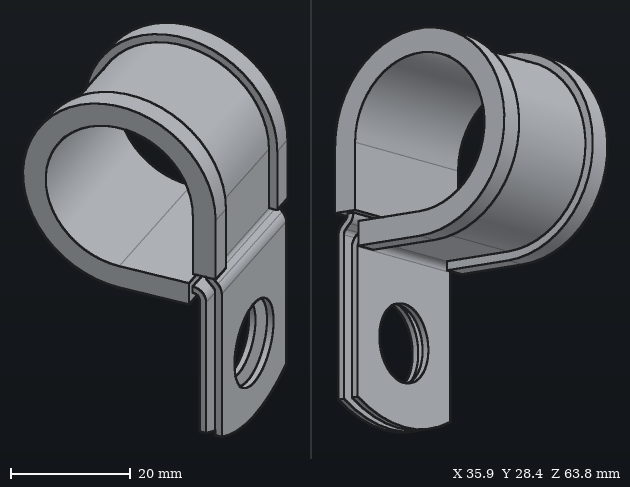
import cadquery as cq
import math


loop_width = 28.45
bore_radius = 13.5
flange_radius = 17.7
flange_width = 4.1
upright_leg_length = 11.55
flat_leg_length = 12.8

strap_thickness = 1.2
strap_width = 25.5
strap_outer_radius = 16.2
strap_inner_radius = strap_outer_radius - strap_thickness
bend_inner_radius = 1.3
bend_outer_radius = bend_inner_radius + strap_thickness

overall_height = 63.8
overall_length = 35.9
tab_spacing = 2.9
inner_hole_diameter = 13.45
outer_hole_diameter = 15.45
hole_z = -31.75
end_arc_height = 3.0
tab_bottom_z = flange_radius - overall_height
outer_tab_face = overall_length - flange_radius
outer_tab_inside = outer_tab_face - strap_thickness
inner_tab_face = outer_tab_face - tab_spacing
inner_tab_inside = inner_tab_face - strap_thickness


def extrude_centered(profile, width):
    return profile.extrude(width / 2, both=True)


def loop_band(inner_radius, outer_radius, width):
    """Three-quarter ring with one leg pointing down and one pointing along +X."""
    diagonal = math.sqrt(0.5)
    profile = (
        cq.Workplane("XZ")
        .moveTo(outer_radius, -upright_leg_length)
        .lineTo(outer_radius, 0)
        .threePointArc((-outer_radius * diagonal, outer_radius * diagonal), (0, -outer_radius))
        .lineTo(flat_leg_length, -outer_radius)
        .lineTo(flat_leg_length, -inner_radius)
        .lineTo(0, -inner_radius)
        .threePointArc((-inner_radius * diagonal, inner_radius * diagonal), (inner_radius, 0))
        .lineTo(inner_radius, -upright_leg_length)
        .close()
    )
    return extrude_centered(profile, width)


def cushion():
    groove = loop_band(strap_outer_radius, flange_radius, loop_width - 2 * flange_width)
    return loop_band(bore_radius, flange_radius, loop_width).cut(groove)


def inner_tab():
    """Strip leaving the flat leg and turning down through a right angle."""
    bend_end_z = -strap_inner_radius - bend_outer_radius
    profile = (
        cq.Workplane("XZ")
        .moveTo(0, -strap_inner_radius)
        .lineTo(inner_tab_face - bend_outer_radius, -strap_inner_radius)
        .radiusArc((inner_tab_face, bend_end_z), bend_outer_radius)
        .lineTo(inner_tab_face, tab_bottom_z)
        .lineTo(inner_tab_inside, tab_bottom_z)
        .lineTo(inner_tab_inside, bend_end_z)
        .radiusArc((inner_tab_inside - bend_inner_radius, -strap_outer_radius), -bend_inner_radius)
        .lineTo(0, -strap_outer_radius)
        .close()
    )
    return extrude_centered(profile, strap_width)


def outer_tab():
    """Strip leaving the upright leg and stepping outward through a 45 degree jog."""
    jog_start_z = -upright_leg_length
    bend_angle = math.radians(45)
    side_factor = 1 - math.cos(bend_angle)
    drop_factor = math.sin(bend_angle)
    jog_offset = outer_tab_face - strap_outer_radius
    bend_radii = bend_inner_radius + bend_outer_radius
    straight_run = jog_offset - bend_radii * side_factor
    jog_end_z = jog_start_z - bend_radii * drop_factor - straight_run

    def bend_end(x, z, radius, direction):
        return (x + direction * radius * side_factor, z - direction * radius * drop_factor)

    profile = (
        cq.Workplane("XZ")
        .moveTo(strap_outer_radius, 0)
        .lineTo(strap_outer_radius, jog_start_z)
        .radiusArc(bend_end(strap_outer_radius, jog_start_z, bend_inner_radius, 1), -bend_inner_radius)
        .lineTo(*bend_end(outer_tab_face, jog_end_z, bend_outer_radius, -1))
        .radiusArc((outer_tab_face, jog_end_z), bend_outer_radius)
        .lineTo(outer_tab_face, tab_bottom_z)
        .lineTo(outer_tab_inside, tab_bottom_z)
        .lineTo(outer_tab_inside, jog_end_z)
        .radiusArc(bend_end(outer_tab_inside, jog_end_z, bend_inner_radius, -1), -bend_inner_radius)
        .lineTo(*bend_end(strap_inner_radius, jog_start_z, bend_outer_radius, 1))
        .radiusArc((strap_inner_radius, jog_start_z), bend_outer_radius)
        .lineTo(strap_inner_radius, 0)
        .close()
    )
    return extrude_centered(profile, strap_width)


def tab_outline(hole_diameter):
    """Block along X that trims a tab to a rounded end with a bolt hole."""
    half_width = strap_width / 2
    corner_z = tab_bottom_z + end_arc_height
    return (
        cq.Workplane("YZ")
        .moveTo(-half_width, 0)
        .lineTo(-half_width, corner_z)
        .threePointArc((0, tab_bottom_z), (half_width, corner_z))
        .lineTo(half_width, 0)
        .close()
        .moveTo(0, hole_z)
        .circle(hole_diameter / 2)
        .extrude(overall_length)
    )


trimmed_inner_tab = inner_tab().intersect(tab_outline(inner_hole_diameter))
trimmed_outer_tab = outer_tab().intersect(tab_outline(outer_hole_diameter))
result = cushion().union(trimmed_inner_tab).union(trimmed_outer_tab)